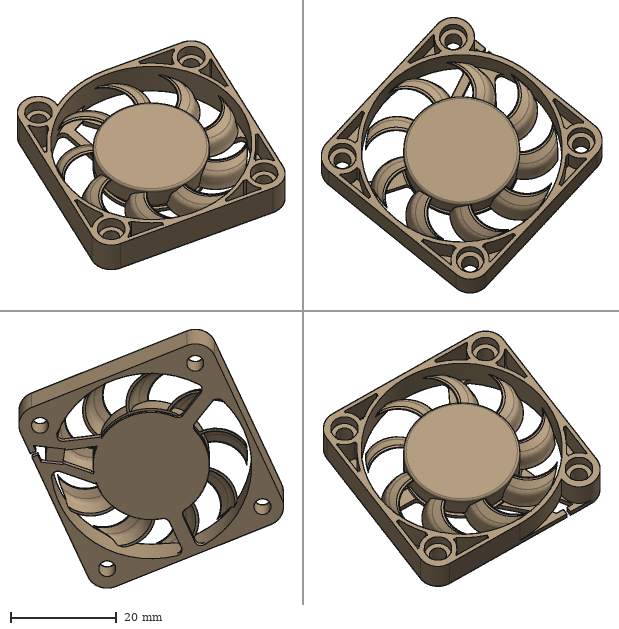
import cadquery as cq
import math

side = 40.0
height = 7.2
corner_radius = 4.0
wall = 0.8
bore_radius = 19.0
ring_radius = bore_radius + wall
floor_height = 1.3

hole_place = side / 2 - corner_radius
hole_radius = 1.6
counterbore_radius = 2.6
counterbore_depth = 2.4
boss_radius = 3.6

pocket_near = 6.65
pocket_far = 13.9
pocket_inner = 15.95

open_quarter = 2
cable_angle = 210.0
cable_ring_radius = side / 2
channel_width = 3.2
channel_height = 1.05
channel_start = 16.6
cable_wall = 1.2
slit_width = 0.8
slit_place = -11.0

hub_radius = 11.0
core_radius = 10.4
base_height = 0.8
slope_radius = 11.45
spoke_width = 2.8
spoke_angles = (90.0, 330.0)
spoke_fillet = 1.2
rail_width = 1.8
rail_tilt = math.radians(14.0)
rail_offset = 4.55
rail_offset_radius = 11.2

rotor_bottom = 1.95
rotor_top = 6.25
rotor_fillet = 0.5
blade_count = 9
blade_tip_radius = 18.2
blade_top = 5.7
shoulder_height = 5.1
blade_drop = 0.1
blade_shift = (-0.45, -0.2)
flank_steps = 3
arc_start = math.radians(-20.0)
arc_end = math.radians(110.0)

leading_arc = (-6.3, 10.85, 6.25)
crest_arc = (-5.8, 11.1, 6.3)
shoulder_arc = (-4.0, 11.9, 6.05)
trailing_arc = (-2.95, 11.8, 7.05)

overlap = 0.4


def cylinder(radius, bottom, top):
    return cq.Workplane("XY").workplane(offset=bottom).circle(radius).extrude(top - bottom)


def block(x_range, y_range, z_range):
    lengths = [b - a for a, b in (x_range, y_range, z_range)]
    corner = (x_range[0], y_range[0], z_range[0])
    return cq.Workplane("XY").box(*lengths, centered=False).translate(corner)


def turned(body, angle):
    return body.rotate((0, 0, 0), (0, 0, 1), angle)


def corner_pocket():
    """Pocket between the +Y wall, the bore ring and the boss of the +X +Y corner."""
    pocket = block((pocket_near, pocket_far), (pocket_inner, side / 2 - wall), (floor_height, height))
    boss = cylinder(boss_radius, 0, height).translate((hole_place, hole_place, 0))
    return pocket.cut(cylinder(ring_radius, 0, height)).cut(boss)


def arc_point(arc, angle):
    x, y, radius = arc
    return (x + radius * math.cos(angle), y + radius * math.sin(angle))


def open_corner():
    """Space above the floor outside the bore ring and the corner boss, open through the -X wall."""
    ring_arc = (0, 0, cable_ring_radius)
    boss_arc = (-hole_place, -hole_place, corner_radius)
    meeting = arc_point(boss_arc, math.radians(90))
    ring_middle = arc_point(ring_arc, math.radians(200))
    boss_middle = arc_point(boss_arc, math.radians(135))
    outline = cq.Workplane("XY").workplane(offset=floor_height).moveTo(-side / 2, 0)
    outline = outline.threePointArc(ring_middle, meeting)
    outline = outline.threePointArc(boss_middle, (-side / 2, -hole_place))
    return outline.close().extrude(height - floor_height)


def frame():
    body = cq.Workplane("XY").rect(side, side).extrude(height).edges("|Z").fillet(corner_radius)
    body = body.cut(cylinder(bore_radius, 0, height))

    pocket = corner_pocket()
    mirrored_pocket = pocket.mirror("XZ").rotate((0, 0, 0), (0, 0, 1), 90)
    for quarter in range(4):
        body = body.cut(turned(pocket, 90 * quarter))
        if quarter != open_quarter:
            body = body.cut(turned(mirrored_pocket, 90 * quarter))
    return body.cut(open_corner())


def mounting_holes():
    places = [(x, y) for x in (-hole_place, hole_place) for y in (-hole_place, hole_place)]
    holes = cq.Workplane("XY").pushPoints(places).circle(hole_radius).extrude(height)
    bores = cq.Workplane("XY").workplane(offset=height - counterbore_depth).pushPoints(places)
    return holes.union(bores.circle(counterbore_radius).extrude(counterbore_depth))


def rail_edge(radius, inset):
    """Distance of a cable rail's edge from the cable line, at a place along that line."""
    return rail_offset - (radius - rail_offset_radius) * math.tan(rail_tilt) - inset


def cable_rails(start, end, inset):
    """Tapering plate about the cable line."""
    near = rail_edge(start, inset)
    far = rail_edge(end, inset)
    outline = [(start, -near), (end, -far), (end, far), (start, near)]
    return turned(cq.Workplane("XY").polyline(outline).close().extrude(floor_height), cable_angle)


def fillet_junctions(body, radii, x_limit):
    """Round the upright edges that lie on the given radii and left of an X limit."""
    def is_junction(edge):
        center = edge.Center()
        distance = math.hypot(center.x, center.y)
        return center.x < x_limit and any(abs(distance - radius) < 0.005 for radius in radii)

    junctions = [edge for edge in body.edges("|Z").vals() if is_junction(edge)]
    return body.newObject(junctions).fillet(spoke_fillet)


def base():
    spoke_end = bore_radius + overlap
    rim = cylinder(ring_radius, 0, floor_height).cut(cylinder(bore_radius, 0, floor_height))
    hub = cylinder(hub_radius, 0, floor_height)
    body = hub.union(rim)
    for angle in spoke_angles:
        spoke = block((0, spoke_end), (-spoke_width / 2, spoke_width / 2), (0, floor_height))
        body = body.union(turned(spoke, angle))
    body = fillet_junctions(body, (hub_radius, bore_radius), side)

    rails = cable_rails(core_radius - overlap, spoke_end, 0)
    opening = cable_rails(core_radius, channel_start, rail_width / math.cos(rail_tilt))
    body = body.union(rails.cut(opening.cut(hub)))
    body = fillet_junctions(body, (bore_radius,), -hub_radius)

    step = [(0, base_height), (hub_radius, base_height), (slope_radius, floor_height), (0, floor_height)]
    return body.cut(cq.Workplane("XZ").polyline(step).close().revolve(360, (0, 0), (0, 1)))


def cable_cuts():
    """Channel under the ring and spokes, and the slit through the wall."""
    half = channel_width / 2
    channel = turned(block((channel_start, side), (-half, half), (0, channel_height)), cable_angle)
    window = turned(block((ring_radius, side), (-half, half), (0, floor_height)), cable_angle)
    window = window.cut(cylinder(cable_ring_radius, 0, floor_height))
    inside = block((cable_wall - side / 2, 0), (-side / 2, 0), (0, floor_height))
    slit_range = (slit_place - slit_width / 2, slit_place + slit_width / 2)
    slit = block((-side / 2, cable_wall - side / 2), slit_range, (0, floor_height))
    return channel.union(window).intersect(inside).union(slit)


def blade_section(outer_arc, z):
    """Closed band at one height between the leading arc and an outer arc."""
    middle = (arc_start + arc_end) / 2
    section = cq.Workplane("XY").workplane(offset=z).moveTo(*arc_point(leading_arc, arc_start))
    section = section.lineTo(*arc_point(outer_arc, arc_start))
    section = section.threePointArc(arc_point(outer_arc, middle), arc_point(outer_arc, arc_end))
    section = section.lineTo(*arc_point(leading_arc, arc_end))
    section = section.threePointArc(arc_point(leading_arc, middle), arc_point(leading_arc, arc_start))
    return section.close().val()


def blade():
    """Arched blade: a curved body hollowed by its own shape, lowered and shifted."""
    crown = cq.Solid.makeLoft(
        [blade_section(shoulder_arc, shoulder_height), blade_section(crest_arc, blade_top)], True)
    sections = []
    for step in range(flank_steps + 1):
        spread = step / flank_steps
        arc = [start + (end - start) * spread for start, end in zip(shoulder_arc, trailing_arc)]
        z = shoulder_height - (shoulder_height - rotor_bottom) * spread**2
        sections.append(blade_section(arc, z))
    flank = cq.Solid.makeLoft(sections)
    body = cq.Workplane(obj=crown).union(cq.Workplane(obj=flank))
    hollow = body.translate((*blade_shift, -blade_drop))
    swept = cylinder(blade_tip_radius, rotor_bottom, blade_top)
    swept = swept.cut(cylinder(hub_radius - overlap, rotor_bottom, blade_top))
    return body.cut(hollow).intersect(swept)


def rotor():
    body = cylinder(hub_radius, rotor_bottom, rotor_top).faces(">Z").edges().fillet(rotor_fillet)
    body = body.union(cylinder(core_radius, 0, rotor_bottom))
    one_blade = blade()
    for index in range(blade_count):
        body = body.union(turned(one_blade, 360 / blade_count * index))
    return body


result = frame().union(base()).cut(mounting_holes()).cut(cable_cuts()).union(rotor())